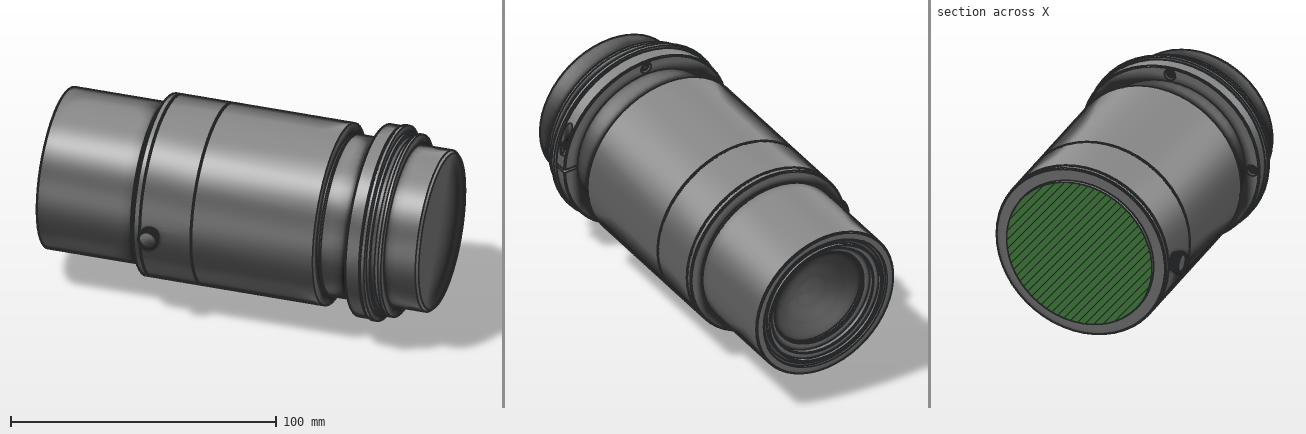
import cadquery as cq
import math


LENGTH = 150.8
FRONT_TUBE_END = 37.9
BODY_START = 39.4
BODY_END = 110.4
REAR_TUBE_START = 111.5
CLAMP_START = 123.7
CLAMP_END = 129.7
COLLAR_START = 130.0
COLLAR_END = 131.5
STEP_END = 132.7
CONE_START = 134.4
RIM_START = 136.2
RIM_END = 137.4

TUBE_D = 62.0
NECK_D = 60.0
BODY_D = 70.0
CLAMP_D = 73.7
COLLAR_D = 75.0
STEP_D = 69.4
DOVETAIL_D = 66.7

SMALL_CHAMFER = 0.5
TUBE_CHAMFER = 1.0

GROOVE_WIDTH = 0.5
GROOVE_DEPTH = 0.5
GROOVE_CENTERS = (42.0, 62.3)

GROOVE_OUTER_D = 55.8
GROOVE_STEP_D = 53.7
GROOVE_STEP_DEPTH = 1.2
GROOVE_FLOOR_DEPTH = 1.8
LIP_OUTER_D = 50.8
LIP_INNER_D = 50.0
RETAINER_FACE_DEPTH = 1.8
RETAINER_CHAMFER_D = 46.1
RETAINER_CHAMFER_DEPTH = 2.3
RETAINER_D = 45.5
RETAINER_FLOOR_DEPTH = 4.2
RETAINER_BORE_D = 40.4
LENS_SEAT_DEPTH = 5.1
LENS_D = 39.5
LENS_RIM_DEPTH = 6.2
LENS_SAG = 4.0

OVERALL_WIDTH = 76.8
KNOB_X = 46.3
KNOB_D = 7.0
KNOB_EDGE_Y = 38.6
KNOB_TIP_Y = OVERALL_WIDTH - COLLAR_D / 2
KNOB_ROOT_Y = 33.2
KNURL_COUNT = 24
KNURL_WIDTH = 0.5
KNURL_DEPTH = 0.2

WELL_D = 4.5

AXIAL_RADIUS = 33.8
AXIAL_ANGLES = (90, 180, 270)
AXIAL_WELL_DEPTH = 2.1
AXIAL_HEAD_D = 2.9
AXIAL_HEAD_HEIGHT = 1.4
AXIAL_SOCKET_D = 1.7

SLIT_WIDTH = 1.4
PINCH_X = (CLAMP_START + CLAMP_END) / 2
PINCH_Y = 34.1
PINCH_SEAT_Z = 6.0
PINCH_HEAD_D = 3.6
PINCH_HEAD_HEIGHT = 3.8
PINCH_SOCKET_D = 2.1


def barrel():
    tube_r = TUBE_D / 2
    neck_r = NECK_D / 2
    body_r = BODY_D / 2
    clamp_r = CLAMP_D / 2
    c = SMALL_CHAMFER
    neck_c = tube_r - neck_r
    outline = [
        (0, 0), (0, tube_r - c), (c, tube_r),
        (FRONT_TUBE_END - c, tube_r), (FRONT_TUBE_END, tube_r - c),
        (FRONT_TUBE_END, neck_r), (BODY_START, neck_r),
        (BODY_START, body_r - c), (BODY_START + c, body_r),
        (BODY_END, body_r), (BODY_END, neck_r),
        (REAR_TUBE_START, neck_r), (REAR_TUBE_START + neck_c, tube_r),
        (CLAMP_START, tube_r), (CLAMP_START, clamp_r - c), (CLAMP_START + c, clamp_r),
        (CLAMP_END - c, clamp_r), (CLAMP_END, clamp_r - c),
        (COLLAR_START, clamp_r - c), (COLLAR_START, COLLAR_D / 2),
        (COLLAR_END, COLLAR_D / 2), (COLLAR_END, STEP_D / 2),
        (STEP_END, STEP_D / 2), (STEP_END, DOVETAIL_D / 2),
        (CONE_START, DOVETAIL_D / 2), (RIM_START, body_r),
        (RIM_END, body_r), (RIM_END, tube_r),
        (LENGTH - TUBE_CHAMFER, tube_r), (LENGTH, tube_r - TUBE_CHAMFER), (LENGTH, 0),
    ]
    return cq.Workplane("XY").polyline(outline).close().revolve(360, (0, 0, 0), (1, 0, 0))


def body_groove(center):
    return (
        cq.Workplane("YZ", origin=(center - GROOVE_WIDTH / 2, 0, 0))
        .circle(BODY_D / 2 + GROOVE_DEPTH)
        .circle(BODY_D / 2 - GROOVE_DEPTH)
        .extrude(GROOVE_WIDTH)
    )


def cap_middle(rim_r, sag):
    """Radius, and drop below the vertex, of the point halfway along a spherical cap's arc."""
    sphere_r = (rim_r**2 + sag**2) / (2 * sag)
    half_angle = math.asin(rim_r / sphere_r) / 2
    return sphere_r * math.sin(half_angle), sphere_r * (1 - math.cos(half_angle))


def front_opening():
    """Stepped opening inside the lip, ending in the concave, spherical face of the front lens."""
    lens_r = LENS_D / 2
    vertex_x = LENS_RIM_DEPTH + LENS_SAG
    middle_r, middle_drop = cap_middle(lens_r, LENS_SAG)
    steps = [
        (0, 0), (0, LIP_INNER_D / 2),
        (RETAINER_FACE_DEPTH, LIP_INNER_D / 2), (RETAINER_FACE_DEPTH, RETAINER_CHAMFER_D / 2),
        (RETAINER_CHAMFER_DEPTH, RETAINER_D / 2), (RETAINER_FLOOR_DEPTH, RETAINER_D / 2),
        (RETAINER_FLOOR_DEPTH, RETAINER_BORE_D / 2), (LENS_SEAT_DEPTH, RETAINER_BORE_D / 2),
        (LENS_SEAT_DEPTH, lens_r), (LENS_RIM_DEPTH, lens_r),
    ]
    return (
        cq.Workplane("XY")
        .polyline(steps)
        .threePointArc((vertex_x - middle_drop, middle_r), (vertex_x, 0))
        .close()
        .revolve(360, (0, 0, 0), (1, 0, 0))
    )


def face_groove():
    """Stepped ring groove in the front face, which leaves a thin lip around the opening."""
    steps = [
        (0, GROOVE_OUTER_D / 2), (GROOVE_STEP_DEPTH, GROOVE_OUTER_D / 2),
        (GROOVE_STEP_DEPTH, GROOVE_STEP_D / 2), (GROOVE_FLOOR_DEPTH, GROOVE_STEP_D / 2),
        (GROOVE_FLOOR_DEPTH, LIP_OUTER_D / 2), (0, LIP_OUTER_D / 2),
    ]
    return cq.Workplane("XY").polyline(steps).close().revolve(360, (0, 0, 0), (1, 0, 0))


def thumb_screw():
    """Knurled knob with a slightly domed end."""
    knob_r = KNOB_D / 2
    middle_r, middle_drop = cap_middle(knob_r, KNOB_TIP_Y - KNOB_EDGE_Y)
    knob = (
        cq.Workplane("XY")
        .moveTo(0, -KNOB_ROOT_Y)
        .lineTo(knob_r, -KNOB_ROOT_Y)
        .lineTo(knob_r, -KNOB_EDGE_Y)
        .threePointArc((middle_r, middle_drop - KNOB_TIP_Y), (0, -KNOB_TIP_Y))
        .close()
        .revolve(360, (0, 0, 0), (0, 1, 0))
    )
    grooves = (
        cq.Workplane("XZ", origin=(0, -BODY_D / 2, 0))
        .polarArray(knob_r, 0, 360, KNURL_COUNT)
        .rect(2 * KNURL_DEPTH, KNURL_WIDTH)
        .extrude(KNOB_TIP_Y - BODY_D / 2)
    )
    return knob.cut(grooves).translate((KNOB_X, 0, 0))


def screw_well(seat, depth, head_d, head_height, socket_d):
    """Round well above the seat plane, cut around a screw head with a round socket."""
    well = cq.Workplane(seat).circle(WELL_D / 2).extrude(depth)
    head = cq.Workplane(seat).circle(head_d / 2).circle(socket_d / 2).extrude(head_height)
    return well.cut(head)


def axial_screw_well(angle):
    seat = cq.Plane(
        origin=(
            CLAMP_START + AXIAL_WELL_DEPTH,
            AXIAL_RADIUS * math.cos(math.radians(angle)),
            AXIAL_RADIUS * math.sin(math.radians(angle)),
        ),
        xDir=(0, 1, 0),
        normal=(-1, 0, 0),
    )
    return screw_well(seat, AXIAL_WELL_DEPTH, AXIAL_HEAD_D, AXIAL_HEAD_HEIGHT, AXIAL_SOCKET_D)


def pinch_slit():
    inner = TUBE_D / 2
    outer = COLLAR_D / 2
    return (
        cq.Workplane("XY", origin=(CLAMP_START, inner, 0))
        .box(CLAMP_END - CLAMP_START, outer - inner, SLIT_WIDTH, centered=(False, False, True))
    )


def pinch_screw_well():
    seat = cq.Plane(origin=(PINCH_X, PINCH_Y, PINCH_SEAT_Z))
    depth = COLLAR_D / 2 - PINCH_SEAT_Z
    return screw_well(seat, depth, PINCH_HEAD_D, PINCH_HEAD_HEIGHT, PINCH_SOCKET_D)


result = barrel()
for groove_center in GROOVE_CENTERS:
    result = result.cut(body_groove(groove_center))
for screw_angle in AXIAL_ANGLES:
    result = result.cut(axial_screw_well(screw_angle))
result = (
    result.cut(front_opening())
    .cut(face_groove())
    .cut(pinch_slit())
    .cut(pinch_screw_well())
    .union(thumb_screw())
)